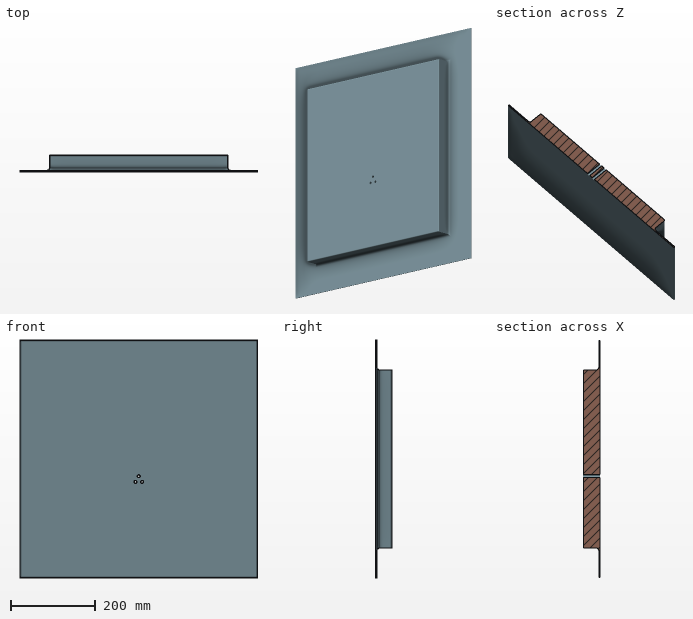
import cadquery as cq

plate_side = 560.0
plate_thickness = 4.0
plate_edge_radius = 2.0

total_depth = 40.0
block_side = 420.0
block_back_radius = 2.0
root_radius = 5.5

hole_diameter = 6.0
hole_count = 3
hole_circle_radius = 9.0
hole_circle_z = -49.0


def square_slab(side, depth):
    """Square slab centred on the Y axis, with its front face at Y = 0."""
    return cq.Workplane("XZ").rect(side, side).extrude(-depth)


def front_plate():
    """Plate with its front edges rounded."""
    return square_slab(plate_side, plate_thickness).faces("<Y").edges().fillet(plate_edge_radius)


def back_block():
    """Block with its back edges rounded."""
    return square_slab(block_side, total_depth).faces(">Y").edges().fillet(block_back_radius)


def root_edges(body):
    """Edges where the block meets the back of the plate."""
    reach = (block_side + root_radius) / 2
    half_band = root_radius / 4
    lower = (-reach, plate_thickness - half_band, -reach)
    upper = (reach, plate_thickness + half_band, reach)
    return body.edges(cq.selectors.BoxSelector(lower, upper))


def through_holes():
    """Three pins along Y, the first one straight above the triangle's centre."""
    return (
        cq.Workplane("XZ")
        .center(0, hole_circle_z)
        .polarArray(hole_circle_radius, 90, 360, hole_count)
        .circle(hole_diameter / 2)
        .extrude(-total_depth)
    )


body = front_plate().union(back_block())
body = root_edges(body).fillet(root_radius)
result = body.cut(through_holes())